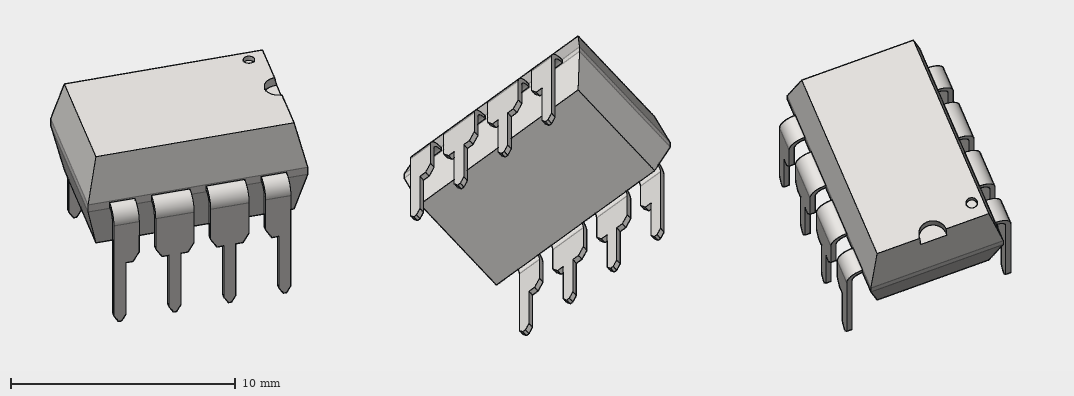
import cadquery as cq
import math

BODY_WIDTH = 6.35
BODY_LENGTH = 10.16
BODY_HEIGHT = 4.95
BAND_HEIGHT = 0.41
TAPER_INSET = 0.5
TAPER_HEIGHT = (BODY_HEIGHT - BAND_HEIGHT) / 2

NOTCH_RADIUS = 0.63
NOTCH_DEPTH = 0.46
DOT_RADIUS = 0.25
DOT_DEPTH = 0.24
DOT_X = -2.16
DOT_Y = 3.81

LEADS_PER_SIDE = 4
LEAD_PITCH = 2.54
LEAD_SPAN = 7.87
LEAD_THICKNESS = 0.25
BEND_INNER_RADIUS = 0.49
OVERALL_HEIGHT = 8.63
LEG_WIDTH = 0.56
SHOULDER_WIDTH = 1.78
SHOULDER_CHAMFER = 0.28
SHOULDER_BOTTOM = 3.3
TIP_CHAMFER = 0.2
CHAMFER_SLOPE = math.tan(math.radians(60))

BODY_TOP = BODY_HEIGHT / 2
TIP_Z = BODY_TOP - OVERALL_HEIGHT
LEAD_TOP = LEAD_THICKNESS / 2
BODY_SIDE = BODY_WIDTH / 2
LEAD_OUTER = LEAD_SPAN / 2
BEND_OUTER_RADIUS = BEND_INNER_RADIUS + LEAD_THICKNESS


def make_housing():
    def tapered_half(direction):
        """Frustum from one edge of the band to the top (+1) or bottom (-1) face."""
        return (
            cq.Workplane("XY", origin=(0, 0, direction * BAND_HEIGHT / 2))
            .rect(BODY_WIDTH, BODY_LENGTH)
            .workplane(offset=direction * TAPER_HEIGHT)
            .rect(BODY_WIDTH - 2 * TAPER_INSET, BODY_LENGTH - 2 * TAPER_INSET)
            .loft(ruled=True)
        )

    def mark(x, y, radius, depth):
        """Round cutter reaching down from the top face."""
        return cq.Workplane("XY", origin=(x, y, BODY_TOP)).circle(radius).extrude(-depth)

    band = cq.Workplane("XY").box(BODY_WIDTH, BODY_LENGTH, BAND_HEIGHT)
    notch = mark(0, BODY_LENGTH / 2 - TAPER_INSET, NOTCH_RADIUS, NOTCH_DEPTH)
    dot = mark(DOT_X, DOT_Y, DOT_RADIUS, DOT_DEPTH)
    return band.union(tapered_half(1)).union(tapered_half(-1)).cut(notch).cut(dot)


def bent_strip():
    """Side profile of a +X lead, out of the housing and bent down, swept over the shoulder width."""
    bend_x = LEAD_OUTER - BEND_OUTER_RADIUS
    bend_z = LEAD_TOP - BEND_OUTER_RADIUS
    lead_inner = LEAD_OUTER - LEAD_THICKNESS
    diagonal = math.sqrt(0.5)
    outer_mid = (bend_x + BEND_OUTER_RADIUS * diagonal, bend_z + BEND_OUTER_RADIUS * diagonal)
    inner_mid = (bend_x + BEND_INNER_RADIUS * diagonal, bend_z + BEND_INNER_RADIUS * diagonal)
    return (
        cq.Workplane("XZ")
        .moveTo(BODY_SIDE, LEAD_TOP)
        .lineTo(bend_x, LEAD_TOP)
        .threePointArc(outer_mid, (LEAD_OUTER, bend_z))
        .lineTo(LEAD_OUTER, TIP_Z)
        .lineTo(lead_inner, TIP_Z)
        .lineTo(lead_inner, bend_z)
        .threePointArc(inner_mid, (bend_x, -LEAD_TOP))
        .lineTo(BODY_SIDE, -LEAD_TOP)
        .close()
        .extrude(SHOULDER_WIDTH / 2, both=True)
    )


def lead_blank(shoulder_left, shoulder_right):
    """Blank with the lead's YZ outline; shoulders on the -Y (left) and +Y (right) side if asked."""
    half_leg = LEG_WIDTH / 2
    half_shoulder = SHOULDER_WIDTH / 2
    half_tip = half_leg - TIP_CHAMFER
    tip_top = TIP_Z + TIP_CHAMFER * CHAMFER_SLOPE
    shoulder_z = TIP_Z + SHOULDER_BOTTOM
    chamfer_top = shoulder_z + SHOULDER_CHAMFER * CHAMFER_SLOPE

    def edge_points(has_shoulder):
        """Distance from the leg's middle and height, from the tip up to the bend."""
        tip = [(half_tip, TIP_Z), (half_leg, tip_top)]
        if not has_shoulder:
            return tip + [(half_leg, LEAD_TOP)]
        return tip + [
            (half_leg, shoulder_z),
            (half_shoulder - SHOULDER_CHAMFER, shoulder_z),
            (half_shoulder, chamfer_top),
            (half_shoulder, LEAD_TOP),
        ]

    right = edge_points(shoulder_right)
    left = [(-y, z) for y, z in reversed(edge_points(shoulder_left))]
    return cq.Workplane("YZ").polyline(right + left).close().extrude(LEAD_OUTER)


def make_lead(index, side):
    """Lead number index from the -Y end; the two end leads have no shoulder on their outer edge."""
    blank = lead_blank(shoulder_left=index > 0, shoulder_right=index < LEADS_PER_SIDE - 1)
    lead = bent_strip().intersect(blank)
    if side < 0:
        lead = lead.mirror("YZ")
    y = (index - (LEADS_PER_SIDE - 1) / 2) * LEAD_PITCH
    return lead.translate((0, y, 0))


housing = make_housing()
leads = [make_lead(index, side) for side in (-1, 1) for index in range(LEADS_PER_SIDE)]

result = cq.Compound.makeCompound([housing.val(), *[lead.val() for lead in leads]])